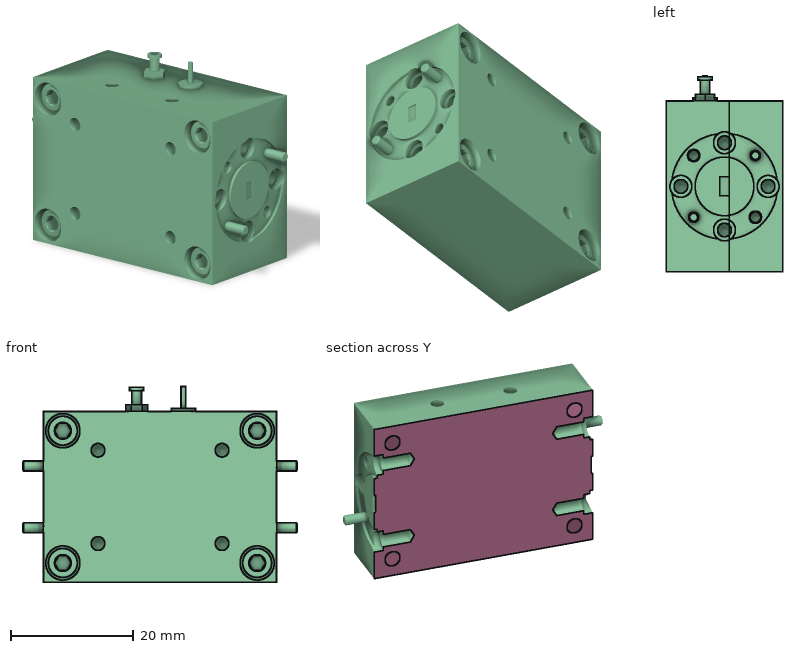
import cadquery as cq
import math

overall_length = 44.85
block_length = 38.1
block_depth = 19.05
block_height = 27.95
guide_width = 1.55
guide_height = 3.1
guide_depth = 0.22
split_y = -guide_width / 2
front_y = -block_depth / 2
top_z = block_height / 2
end_x = block_length / 2

flange_recess_diameter = 17.3
flange_boss_diameter = 9.6
flange_recess_depth = 0.5
bolt_circle_radius = 7.15
bolt_hole_diameter = 2.25
bolt_hole_depth = 6.28
bolt_counterbore_diameter = 3.6
bolt_counterbore_depth = 1.52
dowel_offset = bolt_circle_radius * math.cos(math.radians(45))
dowel_hole_diameter = 1.75
dowel_hole_depth = 4.05
dowel_hole_chamfer = 0.15
dowel_diameter = 1.65
dowel_chamfer = 0.2
dowel_protrusion = (overall_length - block_length) / 2

mount_hole_diameter = 2.25
mount_hole_depth = 3.6
drill_point_angle = 118.0
front_hole_x = 10.15
front_hole_z = 7.6
top_hole_x = 6.35
top_hole_y = -4.57

screw_x = 15.85
screw_z = 10.8
screw_head_diameter = 4.7
screw_head_height = 2.5
screw_head_fillet = 0.25
screw_recess = 1.0
screw_shank_diameter = 2.5
screw_reach = 4.5
screw_socket_flats = 2.38
screw_socket_depth = 1.6
screw_counterbore_diameter = 5.6
screw_seat_y = front_y + screw_recess + screw_head_height
screw_tip_y = split_y + screw_reach

terminal_x = 3.8
terminal_y = 3.2
jack_hex_flats = 3.15
jack_hex_height = 1.1
jack_barrel_diameter = 1.6
jack_rim_diameter = 2.38
jack_rim_thickness = 0.55
jack_height = 3.95
jack_bore_diameter = 1.1
feedthrough_disc_diameter = 4.0
feedthrough_disc_thickness = 0.55
feedthrough_pin_diameter = 0.8
feedthrough_height = 4.1


def cylinder(diameter, length, start, direction):
    solid = cq.Solid.makeCylinder(diameter / 2, length, cq.Vector(*start), cq.Vector(*direction))
    return cq.Workplane(obj=solid)


def hexagon(flats, height):
    return cq.Workplane().polygon(6, flats / math.cos(math.radians(30))).extrude(height)


def drilled_hole(diameter, depth, start, direction):
    """Blind hole of full-diameter depth that ends in a conical drill point."""
    point_length = diameter / 2 / math.tan(math.radians(drill_point_angle / 2))
    axis = cq.Vector(*direction)
    point_start = cq.Vector(*start) + axis * depth
    point = cq.Solid.makeCone(diameter / 2, 0, point_length, point_start, axis)
    return cylinder(diameter, depth, start, direction).union(cq.Workplane(obj=point))


def place_on_end(shape, end):
    """Move a shape made for the -X end to the other end by half a turn about Z."""
    return shape if end < 0 else shape.rotate((0, 0, 0), (0, 0, 1), 180)


def flange_cut():
    inward = (1, 0, 0)
    center = (-end_x, 0, 0)
    recess = cylinder(flange_recess_diameter, flange_recess_depth, center, inward)
    cut = recess.cut(cylinder(flange_boss_diameter, flange_recess_depth, center, inward))

    for angle in range(0, 360, 90):
        y = bolt_circle_radius * math.cos(math.radians(angle))
        z = bolt_circle_radius * math.sin(math.radians(angle))
        start = (-end_x, y, z)
        cut = cut.union(cylinder(bolt_counterbore_diameter, bolt_counterbore_depth, start, inward))
        cut = cut.union(drilled_hole(bolt_hole_diameter, bolt_hole_depth, start, inward))

    mouth_x = -end_x + flange_recess_depth
    for side in (-1, 1):
        start = (mouth_x, side * dowel_offset, side * dowel_offset)
        mouth = cq.Solid.makeCone(
            dowel_hole_diameter / 2 + dowel_hole_chamfer,
            dowel_hole_diameter / 2,
            dowel_hole_chamfer,
            cq.Vector(*start),
            cq.Vector(*inward),
        )
        cut = cut.union(cq.Workplane(obj=mouth))
        cut = cut.union(drilled_hole(dowel_hole_diameter, dowel_hole_depth, start, inward))

    guide = cq.Workplane().box(guide_depth, guide_width, guide_height, centered=(False, True, True))
    return cut.union(guide.translate(center))


def front_hole_cuts():
    return [
        drilled_hole(mount_hole_diameter, mount_hole_depth, (x, front_y, z), (0, 1, 0))
        for x in (-front_hole_x, front_hole_x)
        for z in (-front_hole_z, front_hole_z)
    ]


def top_hole_cuts():
    return [
        drilled_hole(mount_hole_diameter, mount_hole_depth, (x, top_hole_y, top_z), (0, 0, -1))
        for x in (-top_hole_x, top_hole_x)
    ]


def screw_positions():
    return [(x, z) for x in (-screw_x, screw_x) for z in (-screw_z, screw_z)]


def screw_cut(x, z):
    into_block = (0, 1, 0)
    bore = cylinder(screw_counterbore_diameter, screw_seat_y - front_y, (x, front_y, z), into_block)
    shank = cylinder(screw_shank_diameter, screw_tip_y - front_y, (x, front_y, z), into_block)
    return bore.union(shank)


def dowel(end, side):
    """Flange dowel; side is the sign of its Y on the -X end, where Z has the other sign."""
    length = dowel_protrusion + flange_recess_depth
    start = (-overall_length / 2, side * dowel_offset, -side * dowel_offset)
    pin = cylinder(dowel_diameter, length, start, (1, 0, 0)).faces("<X").chamfer(dowel_chamfer)
    return place_on_end(pin, end)


def coaxial_jack():
    up = (0, 0, 1)
    jack = hexagon(jack_hex_flats, jack_hex_height)
    jack = jack.union(cylinder(jack_barrel_diameter, jack_height, (0, 0, 0), up))
    rim_start = (0, 0, jack_height - jack_rim_thickness)
    jack = jack.union(cylinder(jack_rim_diameter, jack_rim_thickness, rim_start, up))
    bore_length = jack_height - jack_hex_height
    jack = jack.cut(cylinder(jack_bore_diameter, bore_length, (0, 0, jack_hex_height), up))
    return jack.translate((-terminal_x, terminal_y, top_z))


def feedthrough():
    start = (terminal_x, terminal_y, top_z)
    disc = cylinder(feedthrough_disc_diameter, feedthrough_disc_thickness, start, (0, 0, 1))
    return disc.union(cylinder(feedthrough_pin_diameter, feedthrough_height, start, (0, 0, 1)))


def half_block(y_start, y_end):
    """Plain half between two Y planes with the flange and screw cuts that both halves share."""
    half = cq.Workplane().box(block_length, y_end - y_start, block_height)
    half = half.translate((0, (y_start + y_end) / 2, 0))
    for end in (-1, 1):
        half = half.cut(place_on_end(flange_cut(), end))
    for x, z in screw_positions():
        half = half.cut(screw_cut(x, z))
    return half


def make_front_half():
    half = half_block(front_y, split_y)
    for hole in front_hole_cuts() + top_hole_cuts():
        half = half.cut(hole)
    half = half.union(dowel(-1, -1))
    return half.union(dowel(1, 1))


def make_rear_half():
    half = half_block(split_y, block_depth / 2)
    half = half.union(dowel(-1, 1))
    half = half.union(dowel(1, -1))
    half = half.union(coaxial_jack())
    return half.union(feedthrough())


def make_cap_screw(x, z):
    along = (0, 1, 0)
    head_y = screw_seat_y - screw_head_height
    head = cylinder(screw_head_diameter, screw_head_height, (x, head_y, z), along)
    head = head.faces("<Y").edges().fillet(screw_head_fillet)
    socket = hexagon(screw_socket_flats, screw_socket_depth)
    flat_radius = screw_socket_flats / 2
    corner_radius = flat_radius / math.cos(math.radians(30))
    countersink = cq.Solid.makeCone(corner_radius, flat_radius, corner_radius - flat_radius)
    socket = socket.union(cq.Workplane(obj=countersink))
    socket = socket.rotate((0, 0, 0), (1, 0, 0), -90).translate((x, head_y, z))
    shank = cylinder(screw_shank_diameter, screw_tip_y - screw_seat_y, (x, screw_seat_y, z), along)
    return head.cut(socket).union(shank)


front_half = make_front_half()
rear_half = make_rear_half()
cap_screws = [make_cap_screw(x, z) for x, z in screw_positions()]

result = cq.Compound.makeCompound(
    [front_half.val(), rear_half.val(), *[screw.val() for screw in cap_screws]]
)